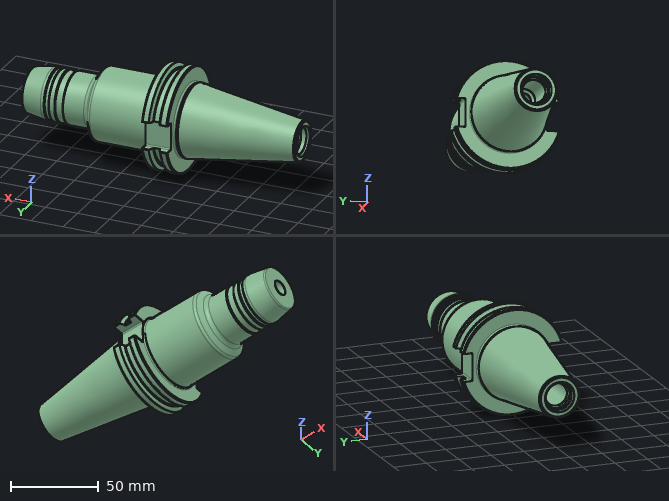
import cadquery as cq
import math

total_length = 169.9

taper_length = 68.3
taper_radius = 22.3
taper_ratio = 7 / 24
shank_end_chamfer = 0.7
relief_end = 69.7
neck_radius = 21.7

flange_start = 71.3
flange_end = 87.1
flange_radius = 31.6
flange_chamfer = 0.5
neck_root_fillet = 0.8
body_root_fillet = 1.0
groove_center = 79.3
groove_half_width = 3.5
groove_v_depth = 2.7
groove_v_angle = 60
groove_floor_radius = 28.0

body_radius = 22.3
body_end = 124.7
body_edge_fillet = 2.0
shoulder_angle = 60
collar_radius = 16.0
shoulder_root_fillet = 3.0

ring_grooves = [(143.0, 148.5), (151.9, 155.1)]
ring_groove_depth = 0.42
nose_start = 157.1
nose_end_radius = 13.8
nose_edge_fillet = 0.8

slot_half_width = 8.3
slot_floor_front = 22.8
slot_floor_back = 25.0
slot_corner_fillet = 0.7
slot_edge_chamfer = 0.3

bore_mouth_radius = 9.0
bore_mouth_depth = 1.5
pilot_radius = 8.0
pilot_depth = 4.8
step_depth = 5.8
thread_radius = 6.8
thread_depth = 32.0
through_radius = 4.6
drill_point_half_angle = 59


def revolve_about_x(points):
    """Revolve a closed (x, radius) outline about the X axis."""
    return cq.Workplane("XY").polyline(points).close().revolve(360, (0, 0, 0), (1, 0, 0))


def ring_at(x):
    """Selector for the circular edge in the plane at the given x."""
    margin = 0.2
    reach = flange_radius
    return cq.selectors.BoxSelector(
        (x - margin, -reach, -reach), (x + margin, reach, reach), boundingbox=True
    )


def make_root_fillet(face_x, side, radius, fillet):
    """Concave ring between a flange face and the cylinder beside it; side is the X direction."""
    far_x = face_x + side * fillet
    bulge = fillet * (1 - math.sqrt(0.5))
    return (
        cq.Workplane("XY")
        .moveTo(face_x, 0)
        .lineTo(face_x, radius + fillet)
        .threePointArc((face_x + side * bulge, radius + bulge), (far_x, radius))
        .lineTo(far_x, 0)
        .close()
        .revolve(360, (0, 0, 0), (1, 0, 0))
    )


def make_shank():
    small_radius = taper_radius - taper_length * taper_ratio / 2
    return revolve_about_x([
        (0, 0),
        (0, small_radius - shank_end_chamfer),
        (shank_end_chamfer, small_radius + shank_end_chamfer * taper_ratio / 2),
        (taper_length, taper_radius),
        (relief_end, neck_radius),
        (flange_start, neck_radius),
        (flange_start, 0),
    ])


def make_flange():
    v_bottom_radius = flange_radius - groove_v_depth
    floor_half_width = groove_half_width - groove_v_depth / math.tan(math.radians(groove_v_angle))
    return revolve_about_x([
        (flange_start, 0),
        (flange_start, flange_radius - flange_chamfer),
        (flange_start + flange_chamfer, flange_radius),
        (groove_center - groove_half_width, flange_radius),
        (groove_center - floor_half_width, v_bottom_radius),
        (groove_center - floor_half_width, groove_floor_radius),
        (groove_center + floor_half_width, groove_floor_radius),
        (groove_center + floor_half_width, v_bottom_radius),
        (groove_center + groove_half_width, flange_radius),
        (flange_end - flange_chamfer, flange_radius),
        (flange_end, flange_radius - flange_chamfer),
        (flange_end, 0),
    ])


def make_slot(side, floor):
    """Drive slot across the flange; side is +1 or -1 along Y."""
    length = flange_end - flange_start
    depth = flange_radius - floor
    slot = (
        cq.Workplane("XY")
        .box(length, depth, 2 * slot_half_width, centered=(False, False, True))
        .edges("|X and <Y")
        .fillet(slot_corner_fillet)
        .translate((flange_start, floor, 0))
    )
    rim_y = math.sqrt(flange_radius**2 - slot_half_width**2)
    flare_y = rim_y - slot_edge_chamfer
    reach = flange_radius - flare_y
    flare = (
        cq.Workplane("YZ", origin=(flange_start, 0, 0))
        .polyline([
            (flare_y, -slot_half_width),
            (flare_y + reach, -slot_half_width - reach),
            (flare_y + reach, slot_half_width + reach),
            (flare_y, slot_half_width),
        ])
        .close()
        .extrude(length)
    )
    slot = slot.union(flare)
    if side < 0:
        slot = slot.mirror("XZ")
    return slot


def make_body():
    shoulder_length = (body_radius - collar_radius) / math.tan(math.radians(shoulder_angle))
    shoulder_end = body_end + shoulder_length
    body = revolve_about_x([
        (flange_end, 0),
        (flange_end, body_radius),
        (body_end, body_radius),
        (shoulder_end, collar_radius),
        (nose_start, collar_radius),
        (total_length, nose_end_radius),
        (total_length, 0),
    ])
    body = body.edges(ring_at(body_end)).fillet(body_edge_fillet)
    body = body.edges(ring_at(shoulder_end)).fillet(shoulder_root_fillet)
    return body.edges(">X").fillet(nose_edge_fillet)


def make_ring_groove(start, end):
    """Shallow groove round the collar with 45 degree walls."""
    return revolve_about_x([
        (start, collar_radius),
        (start + ring_groove_depth, collar_radius - ring_groove_depth),
        (end - ring_groove_depth, collar_radius - ring_groove_depth),
        (end, collar_radius),
    ])


def make_bore():
    point_length = (thread_radius - through_radius) / math.tan(math.radians(drill_point_half_angle))
    return revolve_about_x([
        (0, 0),
        (0, bore_mouth_radius),
        (bore_mouth_depth, pilot_radius),
        (pilot_depth, pilot_radius),
        (step_depth, thread_radius),
        (thread_depth, thread_radius),
        (thread_depth + point_length, through_radius),
        (total_length, through_radius),
        (total_length, 0),
    ])


flange = make_flange().cut(make_slot(-1, slot_floor_front)).cut(make_slot(1, slot_floor_back))
result = make_shank().union(flange).union(make_body())
result = result.union(make_root_fillet(flange_start, -1, neck_radius, neck_root_fillet))
result = result.union(make_root_fillet(flange_end, 1, body_radius, body_root_fillet))
for groove_start, groove_end in ring_grooves:
    result = result.cut(make_ring_groove(groove_start, groove_end))
result = result.cut(make_bore())